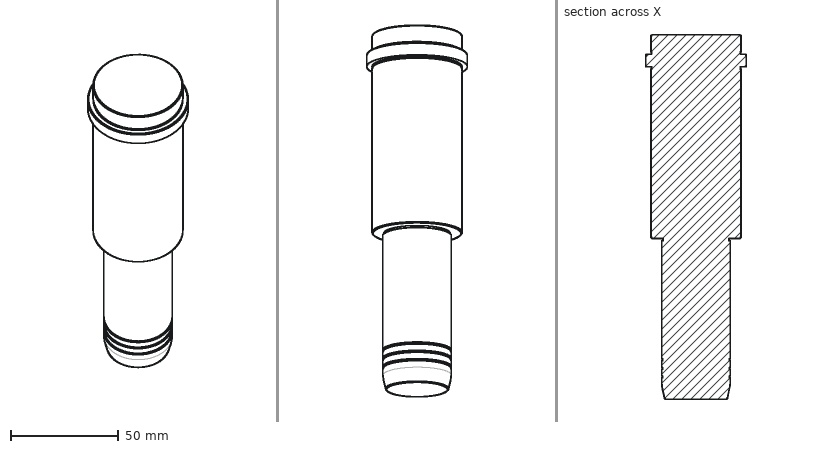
import cadquery as cq

collar_diameter = 47.0
body_diameter = 42.0
pin_diameter = 32.0
tip_diameter = 29.4

total_length = 170.0
pin_length = 75.0
tip_length = 7.0
collar_bottom = 155.0
collar_top = 161.0

edge_chamfer = 0.5
tip_chamfer = 0.5
neck_height = 1.0
neck_depth = 0.5
oil_groove_count = 3
oil_groove_start = 10.0
oil_groove_pitch = 4.0
groove_width = 1.0
groove_floor_width = 0.4
groove_depth = 0.3
tip_bulge = 0.2


def cylinder(diameter, bottom, top):
    """Solid cylinder on the Z axis between two levels."""
    return cq.Workplane("XY").workplane(offset=bottom).circle(diameter / 2).extrude(top - bottom)


def ring_groove(diameter, bottom):
    """Ring-shaped cutter that sinks a flat-bottomed groove with sloping walls into a cylinder."""
    radius = diameter / 2
    floor_radius = radius - groove_depth
    top = bottom + groove_width
    floor_margin = (groove_width - groove_floor_width) / 2
    return (
        cq.Workplane("XZ")
        .moveTo(radius, bottom)
        .lineTo(floor_radius, bottom + floor_margin)
        .lineTo(floor_radius, top - floor_margin)
        .lineTo(radius, top)
        .close()
        .revolve(360, (0, 0, 0), (0, 1, 0))
    )


def make_tip():
    """Convex lead-in nose, chamfered at its lower end."""
    pin_radius = pin_diameter / 2
    tip_radius = tip_diameter / 2
    arc_middle = ((pin_radius + tip_radius) / 2 + tip_bulge, (tip_length + tip_chamfer) / 2)
    return (
        cq.Workplane("XZ")
        .moveTo(0, 0)
        .lineTo(tip_radius - tip_chamfer, 0)
        .lineTo(tip_radius, tip_chamfer)
        .threePointArc(arc_middle, (pin_radius, tip_length))
        .lineTo(0, tip_length)
        .close()
        .revolve(360, (0, 0, 0), (0, 1, 0))
    )


def make_pin():
    """Slim guide section with oil grooves and an undercut neck below the shoulder."""
    pin = cylinder(pin_diameter, tip_length, pin_length - neck_height)
    for index in range(oil_groove_count):
        bottom = oil_groove_start + index * oil_groove_pitch
        pin = pin.cut(ring_groove(pin_diameter, bottom))
    neck = cylinder(pin_diameter - 2 * neck_depth, pin_length - neck_height, pin_length)
    return pin.union(neck)


def make_body():
    """Thick section with chamfered ends and a groove on each side of the collar."""
    body = cylinder(body_diameter, pin_length, total_length)
    body = body.faces("<Z or >Z").chamfer(edge_chamfer)
    for bottom in (collar_bottom - groove_width, collar_top):
        body = body.cut(ring_groove(body_diameter, bottom))
    return body


def make_collar():
    """Locating collar with a chamfered upper edge."""
    return cylinder(collar_diameter, collar_bottom, collar_top).faces(">Z").chamfer(edge_chamfer)


result = make_tip().union(make_pin()).union(make_body()).union(make_collar())